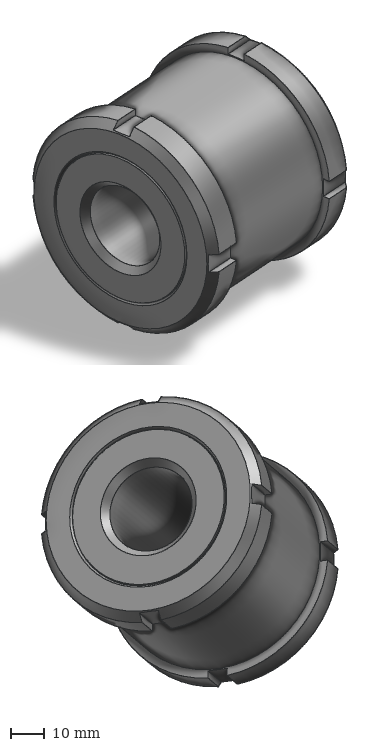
import cadquery as cq
import math

outer_span = 69.75
length = 66.0
body_diameter = 64.7
flange_width = 10.9
rim_chamfer = 2.65

bore_diameter = 26.0
bore_chamfer = 2.15

groove_inner_diameter = 48.1
groove_outer_diameter = 48.4
groove_chamfer = 0.7
groove_depth = 1.4

slot_count = 4
slot_width = 6.0
slot_floor_distance = 32.65

half_length = length / 2
flange_radius = math.hypot(outer_span / 2, slot_width / 2)


def revolve_about_y(points):
    """Revolve a closed (radius, y) outline around the Y axis."""
    outline = cq.Workplane("XY").polyline(points).close()
    return outline.revolve(360, (0, 0, 0), (0, 1, 0))


def make_spool():
    """Flanged body with its chamfered rims and chamfered through bore."""
    body_radius = body_diameter / 2
    bore_radius = bore_diameter / 2
    shoulder = half_length - flange_width
    return revolve_about_y([
        (bore_radius + bore_chamfer, -half_length),
        (flange_radius - rim_chamfer, -half_length),
        (flange_radius, -half_length + rim_chamfer),
        (flange_radius, -shoulder),
        (body_radius, -shoulder),
        (body_radius, shoulder),
        (flange_radius, shoulder),
        (flange_radius, half_length - rim_chamfer),
        (flange_radius - rim_chamfer, half_length),
        (bore_radius + bore_chamfer, half_length),
        (bore_radius, half_length - bore_chamfer),
        (bore_radius, -half_length + bore_chamfer),
    ])


def make_face_groove(end):
    """Ring groove cutter; end is -1 for the front face and 1 for the back."""
    inner_radius = groove_inner_diameter / 2
    outer_radius = groove_outer_diameter / 2
    face = end * half_length
    return revolve_about_y([
        (inner_radius, face),
        (outer_radius + groove_chamfer, face),
        (outer_radius, face - end * groove_chamfer),
        (outer_radius, face - end * groove_depth),
        (inner_radius, face - end * groove_depth),
    ])


def make_slot(angle):
    """Full-length slot cutter; it passes clear above the body between the flanges."""
    slot_height = flange_radius - slot_floor_distance
    slot = cq.Workplane("XY").box(slot_width, length, slot_height, centered=(True, True, False))
    slot = slot.translate((0, 0, slot_floor_distance))
    return slot.rotate((0, 0, 0), (0, 1, 0), angle)


result = make_spool()

for end in (-1, 1):
    result = result.cut(make_face_groove(end))

for index in range(slot_count):
    result = result.cut(make_slot(index * 360 / slot_count))